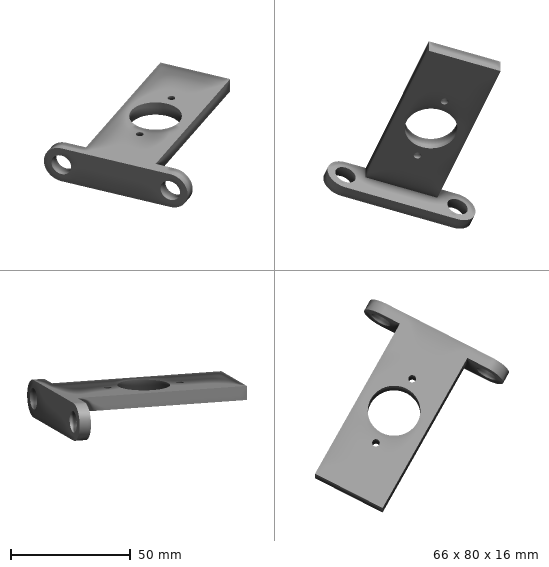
import cadquery as cq

total_length = 80.0
flange_width = 66.0
flange_height = 16.0
flange_thickness = 5.0

plate_width = 32.0
plate_thickness = 6.0

flange_hole_diameter = 9.0
flange_hole_spacing = flange_width - flange_height
bore_diameter = 22.0
screw_hole_diameter = 3.2
screw_hole_spacing = 32.0
bore_center_y = total_length / 2

flange_top = flange_height / 2


def make_flange():
    """Upright flange with round ends; front face at Y = 0, centred on X and Z."""
    front = cq.Workplane("XZ")
    body = front.slot2D(flange_width, flange_height).extrude(-flange_thickness)
    holes = (
        front.rarray(flange_hole_spacing, 0.8, 2, 1)
        .circle(flange_hole_diameter / 2)
        .extrude(-flange_thickness)
    )
    return body.cut(holes)


def make_plate():
    """Flat plate running back from the flange, with a bore between two screw holes."""
    underside = cq.Workplane("XY", origin=(0, bore_center_y, flange_top - plate_thickness))
    plate_length = total_length - flange_thickness
    body = (
        underside.center(0, flange_thickness / 2)
        .rect(plate_width, plate_length)
        .extrude(plate_thickness)
    )
    bore = underside.circle(bore_diameter / 2).extrude(plate_thickness)
    screw_holes = (
        underside.rarray(0.8, screw_hole_spacing, 1, 2)
        .circle(screw_hole_diameter / 2)
        .extrude(plate_thickness)
    )
    return body.cut(bore).cut(screw_holes)


result = make_flange().union(make_plate())